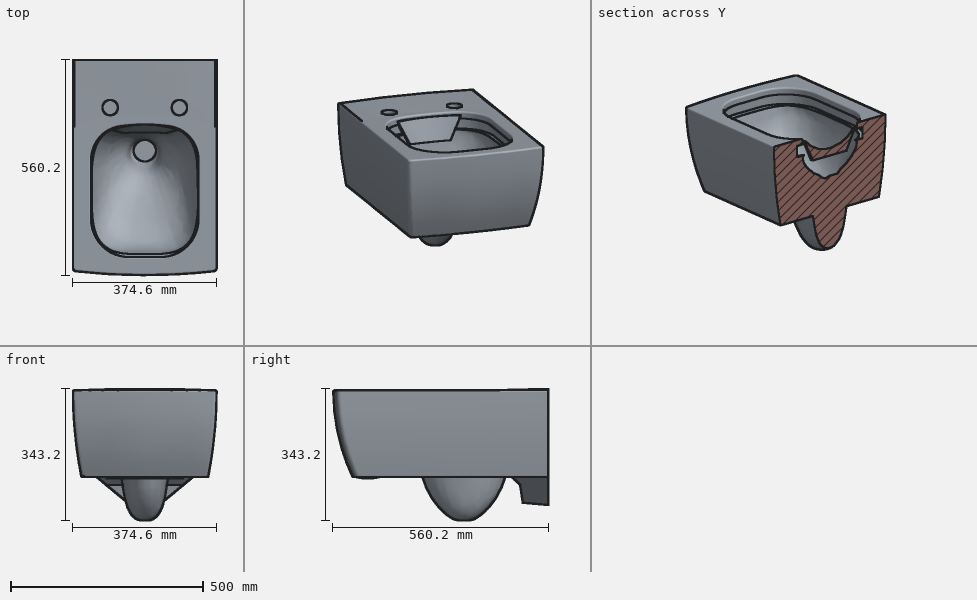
import math

import cadquery as cq


WIDTH = 374.63
LENGTH = 560.21
HEIGHT = 343.19

CROWN_RISE = 4.2
BODY_DEPTH = 226.0
BOTTOM_WIDTH = 330.0
SIDE_BULGE = 5.6
FRONT_SETBACK = 51.0
FRONT_BULGE = 12.9
FRONT_BOW = 11.0
CORNER_RADIUS = 10.0
TOP_EDGE_RADIUS = 5.0
BOTTOM_EDGE_RADIUS = 4.0

DECK_FRONT_CENTRE = 145.0
DECK_FRONT_SIDE = 173.0
DECK_FRONT_END_SLOPE = 0.5
SEAT_HOLE_DIAMETER = 40.0
SEAT_HOLE_SPACING = 180.0
SEAT_HOLE_FROM_WALL = 124.0
SEAT_HOLE_DEPTH = 12.0

OPENING_WIDTH = 280.0
OPENING_BACK_CENTRE = 168.0
OPENING_BACK_SIDE = 190.0
OPENING_FRONT = 513.0
OPENING_BACK_RADIUS = 90.0
OPENING_FRONT_RADIUS = 100.0
OPENING_EDGE_RADIUS = 5.0
RIM_THICKNESS = 18.0
CHANNEL_FLOOR = 48.0
CHANNEL_UNDERCUT = 9.0

BOWL_SECTIONS = [
    (CHANNEL_FLOOR, 138.0, 172.0, 505.0, 3.6),
    (110.0, 130.0, 178.0, 486.0, 3.0),
    (160.0, 104.0, 184.0, 430.0, 2.4),
    (200.0, 68.0, 190.0, 345.0, 2.1),
    (235.0, 46.0, 198.0, 303.0, 2.0),
    (280.0, 38.0, 206.0, 278.0, 2.0),
    (314.0, 29.0, 208.0, 264.0, 2.0),
]

PANEL_DEPTH = 71.0
PANEL_TOP_DEPTH = 9.0
PANEL_TOP_WIDTH = 174.0
PANEL_TOP_SIDE = 182.0
PANEL_BOTTOM_WIDTH = 112.0
PANEL_BOTTOM_CENTRE = 188.0
PANEL_BOTTOM_SIDE = 190.0
PANEL_EMBED = 10.0

TRAP_CENTRE = 220.0
TRAP_OVERLAP = 20.0
TRAP_DROP = HEIGHT - CROWN_RISE - BODY_DEPTH
TRAP_SECTIONS = [
    (-TRAP_OVERLAP / TRAP_DROP, 63.0, 115.0),
    (0.0, 61.0, 108.0),
    (0.37, 54.7, 91.0),
    (0.735, 43.5, 61.0),
    (0.93, 28.0, 35.0),
    (1.0, 12.0, 15.0),
]

LIP_WIDTH = 200.0
LIP_BACK = 440.0
LIP_FRONT = 500.0
LIP_DROP = 4.0

OUTLET_WIDTH = 250.0
OUTLET_BOTTOM_WIDTH = 74.0
OUTLET_DROP_WALL = 73.0
OUTLET_DROP_FRONT = 67.0
OUTLET_LENGTH_TOP = 74.0
OUTLET_LENGTH_BOTTOM = 67.0
OUTLET_HAUNCH_LENGTH = 95.0
OUTLET_HAUNCH_DROP = 20.0
OUTLET_EDGE_RADIUS = 15.0
OUTLET_OVERLAP = 20.0

SECTION_POINTS = 24


def bulged_midpoint(start, end, bulge):
    """Point beside the middle of a chord, offset to the right of its direction."""
    dx = end[0] - start[0]
    dy = end[1] - start[1]
    chord = math.hypot(dx, dy)
    mid_x = (start[0] + end[0]) / 2
    mid_y = (start[1] + end[1]) / 2
    return (mid_x + bulge * dy / chord, mid_y - bulge * dx / chord)


def make_body():
    top_right = (WIDTH / 2, 0)
    bottom_right = (BOTTOM_WIDTH / 2, -BODY_DEPTH)
    bottom_left = (-BOTTOM_WIDTH / 2, -BODY_DEPTH)
    top_left = (-WIDTH / 2, 0)
    cross_section = (
        cq.Workplane("XZ")
        .moveTo(*top_left)
        .threePointArc(bulged_midpoint(top_left, bottom_left, SIDE_BULGE), bottom_left)
        .lineTo(*bottom_right)
        .threePointArc(bulged_midpoint(bottom_right, top_right, SIDE_BULGE), top_right)
        .close()
        .extrude(LENGTH)
    )

    bow_radius = ((WIDTH / 2) ** 2 + FRONT_BOW**2) / (2 * FRONT_BOW)
    axis_y = bow_radius - LENGTH
    front_top = (-LENGTH, 0)
    front_bottom = (FRONT_SETBACK - LENGTH, -BODY_DEPTH)
    front_envelope = (
        cq.Workplane("YZ")
        .moveTo(axis_y, 0)
        .lineTo(*front_top)
        .threePointArc(bulged_midpoint(front_top, front_bottom, FRONT_BULGE), front_bottom)
        .lineTo(axis_y, -BODY_DEPTH)
        .close()
        .revolve(360, (axis_y, 0), (axis_y, 1))
    )
    body = cross_section.intersect(front_envelope)

    quarter_depth = BODY_DEPTH / 4
    front_corners = cq.selectors.BoxSelector(
        (-WIDTH, -LENGTH, -3 * quarter_depth), (WIDTH, -LENGTH / 2, -quarter_depth)
    )
    body = body.edges(front_corners).fillet(CORNER_RADIUS)
    body = body.faces(">Z").edges("not >Y").fillet(TOP_EDGE_RADIUS)
    return body.faces("<Z").edges("not >Y").fillet(BOTTOM_EDGE_RADIUS)


def make_deck():
    """Shallow dome from an arched edge at the wall down to the seat plane."""
    half_width = WIDTH / 2 - TOP_EDGE_RADIUS
    left_wall = cq.Vector(-half_width, 0, 0)
    right_wall = cq.Vector(half_width, 0, 0)
    left_front = cq.Vector(-half_width, -DECK_FRONT_SIDE, 0)
    right_front = cq.Vector(half_width, -DECK_FRONT_SIDE, 0)
    wall_arch = cq.Edge.makeThreePointArc(left_wall, cq.Vector(0, 0, CROWN_RISE), right_wall)
    front_arc = cq.Edge.makeSpline(
        [left_front, cq.Vector(0, -DECK_FRONT_CENTRE, 0), right_front],
        tangents=[cq.Vector(1, DECK_FRONT_END_SLOPE, 0), cq.Vector(1, -DECK_FRONT_END_SLOPE, 0)],
    )
    wall_line = cq.Edge.makeLine(left_wall, right_wall)
    left_line = cq.Edge.makeLine(left_wall, left_front)
    right_line = cq.Edge.makeLine(right_wall, right_front)
    dome = cq.Face.makeRuledSurface(wall_arch, front_arc)
    wall_face = cq.Face.makeFromWires(cq.Wire.assembleEdges([wall_line, wall_arch]))
    underside = cq.Face.makeFromWires(
        cq.Wire.assembleEdges([wall_line, right_line, front_arc, left_line])
    )
    shell = cq.Shell.makeShell([dome, wall_face, underside])
    return cq.Workplane(obj=cq.Solid.makeSolid(shell))


def make_opening(top, depth, growth=0.0):
    """Vertical prism with the outline of the bowl opening, enlarged by growth."""
    half_width = OPENING_WIDTH / 2 + growth
    back_side = growth - OPENING_BACK_SIDE
    back_centre = growth - OPENING_BACK_CENTRE
    front = -OPENING_FRONT - growth
    prism = (
        cq.Workplane("XY", origin=(0, 0, top))
        .moveTo(-half_width, back_side)
        .threePointArc((0, back_centre), (half_width, back_side))
        .lineTo(half_width, front)
        .lineTo(-half_width, front)
        .close()
        .extrude(-depth)
    )
    prism = prism.edges("|Z").edges(">Y").fillet(OPENING_BACK_RADIUS + growth)
    return prism.edges("|Z").edges("<Y").fillet(OPENING_FRONT_RADIUS + growth)


def rounded_section(depth, centre_y, half_width, half_length, squareness=2.0):
    """Closed horizontal superellipse wire; a squareness of 2 gives an ellipse."""
    power = 2 / squareness
    points = []
    for index in range(SECTION_POINTS):
        angle = 2 * math.pi * index / SECTION_POINTS
        cosine = math.cos(angle)
        sine = math.sin(angle)
        x = math.copysign(abs(cosine) ** power, cosine) * half_width
        y = math.copysign(abs(sine) ** power, sine) * half_length
        points.append(cq.Vector(x, centre_y + y, -depth))
    return cq.Wire.assembleEdges([cq.Edge.makeSpline(points, periodic=True)])


def make_bowl():
    """Cavity below the channel floor, narrowing and moving back into the trap."""
    wires = []
    for depth, half_width, back, front, squareness in BOWL_SECTIONS:
        centre_y = -(back + front) / 2
        half_length = (front - back) / 2
        wires.append(rounded_section(depth, centre_y, half_width, half_length, squareness))
    return cq.Workplane(obj=cq.Solid.makeLoft(wires))


def make_panel():
    """Water distributor leaning forward from the rim, with a narrower lower edge."""
    hidden_back = -OPENING_BACK_CENTRE + CHANNEL_UNDERCUT + PANEL_EMBED
    half_top = PANEL_TOP_WIDTH / 2
    half_bottom = PANEL_BOTTOM_WIDTH / 2
    top = (
        cq.Workplane("XY", origin=(0, 0, -PANEL_TOP_DEPTH))
        .moveTo(-half_top, hidden_back)
        .lineTo(-half_top, -PANEL_TOP_SIDE)
        .threePointArc((0, -OPENING_BACK_CENTRE), (half_top, -PANEL_TOP_SIDE))
        .lineTo(half_top, hidden_back)
        .close()
        .val()
    )
    bottom = (
        cq.Workplane("XY", origin=(0, 0, -PANEL_DEPTH))
        .moveTo(-half_bottom, hidden_back)
        .lineTo(-half_bottom, -PANEL_BOTTOM_SIDE)
        .threePointArc((0, -PANEL_BOTTOM_CENTRE), (half_bottom, -PANEL_BOTTOM_SIDE))
        .lineTo(half_bottom, hidden_back)
        .close()
        .val()
    )
    return cq.Workplane(obj=cq.Solid.makeLoft([top, bottom], True))


def make_trap():
    """Rounded bulge that carries the trap below the body."""
    wires = []
    for drop_share, half_width, half_length in TRAP_SECTIONS:
        depth = BODY_DEPTH + drop_share * TRAP_DROP
        wires.append(rounded_section(depth, -TRAP_CENTRE, half_width, half_length))
    return cq.Workplane(obj=cq.Solid.makeLoft(wires))


def make_outlet():
    """V-shaped boss against the wall, with a haunch running forward under the body."""
    underside = -BODY_DEPTH
    side_profile = (
        cq.Workplane("YZ", origin=(-WIDTH / 2, 0, 0))
        .polyline(
            [
                (0, underside + OUTLET_OVERLAP),
                (-OUTLET_HAUNCH_LENGTH, underside + OUTLET_OVERLAP),
                (-OUTLET_HAUNCH_LENGTH, underside),
                (-OUTLET_LENGTH_TOP, underside - OUTLET_HAUNCH_DROP),
                (-OUTLET_LENGTH_BOTTOM, underside - OUTLET_DROP_FRONT),
                (0, underside - OUTLET_DROP_WALL),
            ]
        )
        .close()
        .extrude(WIDTH)
    )
    front_profile = (
        cq.Workplane("XZ")
        .polyline(
            [
                (-OUTLET_WIDTH / 2, underside + OUTLET_OVERLAP),
                (-OUTLET_WIDTH / 2, underside),
                (-OUTLET_BOTTOM_WIDTH / 2, underside - OUTLET_DROP_WALL),
                (OUTLET_BOTTOM_WIDTH / 2, underside - OUTLET_DROP_WALL),
                (OUTLET_WIDTH / 2, underside),
                (OUTLET_WIDTH / 2, underside + OUTLET_OVERLAP),
            ]
        )
        .close()
        .extrude(OUTLET_HAUNCH_LENGTH)
        .edges("|Y")
        .edges("<Z")
        .fillet(OUTLET_EDGE_RADIUS)
    )
    return side_profile.intersect(front_profile)


def make_front_lip():
    back = (-LIP_BACK, -BODY_DEPTH)
    front = (-LIP_FRONT, -BODY_DEPTH)
    return (
        cq.Workplane("YZ", origin=(-LIP_WIDTH / 2, 0, 0))
        .moveTo(*back)
        .threePointArc(bulged_midpoint(back, front, -LIP_DROP), front)
        .close()
        .extrude(LIP_WIDTH)
    )


def make_seat_holes():
    return (
        cq.Workplane("XY", origin=(0, -SEAT_HOLE_FROM_WALL, CROWN_RISE))
        .pushPoints([(-SEAT_HOLE_SPACING / 2, 0), (SEAT_HOLE_SPACING / 2, 0)])
        .circle(SEAT_HOLE_DIAMETER / 2)
        .extrude(-SEAT_HOLE_DEPTH - CROWN_RISE)
    )


outer = make_body().union(make_outlet()).union(make_trap()).union(make_front_lip())
rim_hole = make_opening(0, CHANNEL_FLOOR)
channel = make_opening(-RIM_THICKNESS, CHANNEL_FLOOR - RIM_THICKNESS, CHANNEL_UNDERCUT)

pan = outer.cut(rim_hole)
opening_edge = cq.selectors.BoxSelector(
    (-OPENING_WIDTH, -OPENING_FRONT - OPENING_EDGE_RADIUS, -OPENING_EDGE_RADIUS),
    (OPENING_WIDTH, OPENING_EDGE_RADIUS - OPENING_BACK_CENTRE, OPENING_EDGE_RADIUS),
    boundingbox=True,
)
pan = pan.edges(opening_edge).fillet(OPENING_EDGE_RADIUS)
pan = pan.cut(channel).cut(make_bowl()).union(make_panel())
result = pan.union(make_deck()).cut(make_seat_holes())